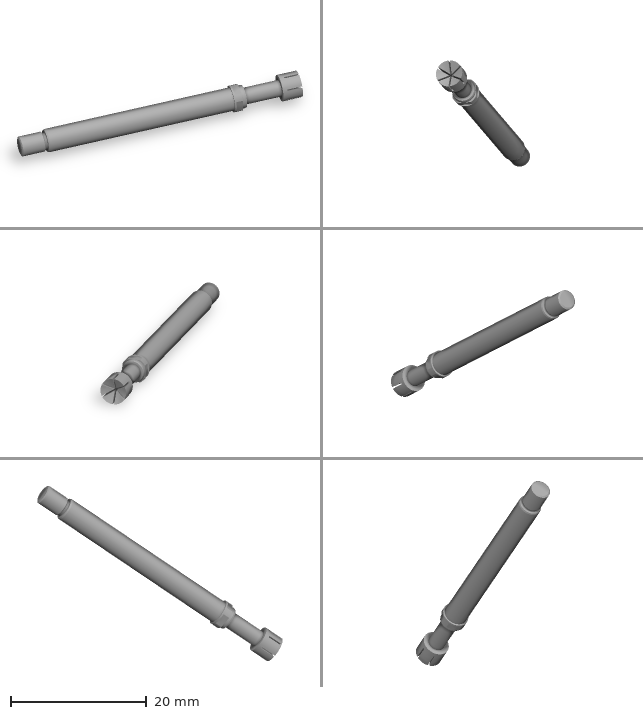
import cadquery as cq
import math

total_length = 43.1

head_diameter = 4.0
head_length = 3.0
plunger_diameter = 2.5
slot_count = 6
slot_width = 0.25
slot_length = 2.3
tip_cone_angle = 120.0

barrel_diameter = 3.5
barrel_start = 4.0
barrel_end = total_length - 8.5
barrel_chamfer_length = 0.25
barrel_chamfer_depth = 0.08

collar_diameter = 4.0
collar_across_flats = barrel_diameter
collar_end = total_length - 9.15
flat_length = 1.05
flange_thickness = 0.25

tail_diameter = 3.0
tail_end_diameter = 2.5
tail_end_chamfer_length = 0.15
neck_diameter = 2.6
neck_hollow = 0.02
neck_length = 0.33
tail_neck_chamfer_length = 0.17


def cylinder(diameter, y_start, y_end):
    """Cylinder on the Y axis between two stations."""
    base = cq.Workplane("XZ", origin=(0, y_start, 0))
    return base.circle(diameter / 2).extrude(y_start - y_end)


def make_tail():
    """Tail pin with a bevelled end and a reduced neck, revolved about Y."""
    tail_shoulder = barrel_start - neck_length
    outline = (
        cq.Workplane("XY")
        .lineTo(tail_end_diameter / 2, 0)
        .lineTo(tail_diameter / 2, tail_end_chamfer_length)
        .lineTo(tail_diameter / 2, tail_shoulder - tail_neck_chamfer_length)
        .lineTo(neck_diameter / 2, tail_shoulder)
        .sagittaArc((neck_diameter / 2, barrel_start), neck_hollow)
        .lineTo(0, barrel_start)
        .close()
    )
    return outline.revolve(360, (0, 0), (0, 1))


def make_barrel():
    """Barrel with both end edges bevelled."""
    barrel = cylinder(barrel_diameter, barrel_start, barrel_end)
    end_edges = barrel.faces("<Y or >Y").edges()
    return end_edges.chamfer(barrel_chamfer_length, barrel_chamfer_depth)


def make_collar():
    """Round collar with four flats, backed by a full round flange."""
    flat_start = collar_end - flat_length
    square = cq.Workplane("XY").box(collar_across_flats, flat_length, collar_across_flats)
    square = square.translate((0, flat_start + flat_length / 2, 0))
    squared_part = cylinder(collar_diameter, flat_start, collar_end).intersect(square)
    flange = cylinder(collar_diameter, flat_start - flange_thickness, flat_start)
    return squared_part.union(flange)


def make_plunger():
    """Plunger shaft carrying the slotted contact head."""
    head_start = total_length - head_length
    plunger = cylinder(plunger_diameter, barrel_end, head_start)
    head = cylinder(head_diameter, head_start, total_length)

    head_radius = head_diameter / 2
    cutter = cq.Workplane("XY").box(slot_width, slot_length, head_radius)
    cutter = cutter.translate((0, total_length - slot_length / 2, head_radius / 2))
    for index in range(slot_count):
        angle = index * 360 / slot_count
        head = head.cut(cutter.rotate((0, 0, 0), (0, 1, 0), angle))

    cone_depth = head_radius / math.tan(math.radians(tip_cone_angle / 2))
    tip_cone = cq.Solid.makeCone(
        head_radius, 0, cone_depth, pnt=cq.Vector(0, total_length, 0), dir=cq.Vector(0, -1, 0)
    )
    head = head.cut(cq.Workplane(tip_cone))
    return plunger.union(head)


result = make_tail().union(make_barrel()).union(make_collar()).union(make_plunger())